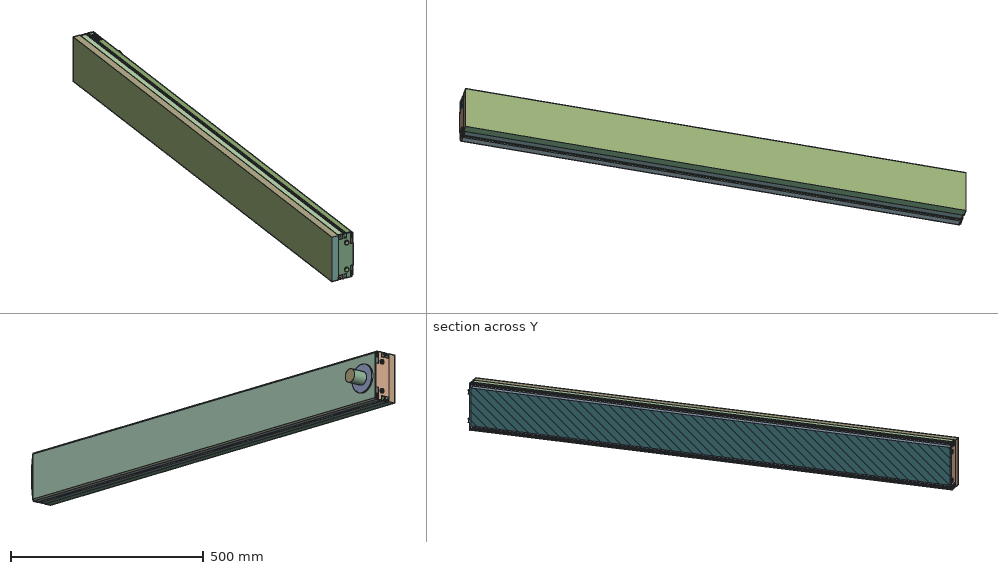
import cadquery as cq

overall_length = 1348.0
overall_depth = 110.0
height = 130.0
top = height / 2

pin_length = 4.0
body_length = overall_length - pin_length
cap_thickness = 4.0

cover_depth = 20.0
body_depth = 65.0
flange_thickness = 4.0

rear_chamfer = 4.0
slot_y = 40.0
slot_mouth = 8.0
slot_chamber = 16.0
slot_lip = 4.0
slot_depth = 12.0

recess_step = 1.0
rear_recess_width = 8.0
rear_recess_height = 32.0
front_recess_size = 12.0

connector_y = 43.0
connector_z = 39.0
connector_diameter = 12.0
socket_bore = 7.0
socket_mouth_depth = 3.0

grille_start = 13.0
grille_cuts = 5
grille_pitch = 8.0
grille_cut_width = 4.0
grille_y_start = 49.0
grille_y_end = 59.0
grille_depth = 3.0

stud_x = 51.0
stud_diameter = 36.0
flange_diameter = 77.0


def block(x_start, x_end, y_start, y_end, z_low, z_high):
    """Axis-aligned box between the given limits."""
    return (
        cq.Workplane("XY")
        .box(x_end - x_start, y_end - y_start, z_high - z_low, centered=False)
        .translate((x_start, y_start, z_low))
    )


def mirrored_in_z(shape):
    """The shape together with its mirror image below mid-height."""
    return shape.union(shape.mirror("XY"))


def bar(x_start, x_end):
    """Plain bar behind the cover, with its rear corners chamfered."""
    blank = block(x_start, x_end, cover_depth, body_depth, -top, top)
    return blank.edges("|X and >Y").chamfer(rear_chamfer)


def slot_mouths(x_start, x_end):
    """Straight slots open to the top and bottom faces."""
    y_start = slot_y - slot_mouth / 2
    return mirrored_in_z(block(x_start, x_end, y_start, y_start + slot_mouth, top - slot_depth, top))


def t_slots(x_start, x_end):
    """Slots that widen into a chamber below their lips."""
    y_start = slot_y - slot_chamber / 2
    y_end = slot_y + slot_chamber / 2
    chamber = block(x_start, x_end, y_start, y_end, top - slot_depth, top - slot_lip)
    return slot_mouths(x_start, x_end).union(mirrored_in_z(chamber))


def stepped_recesses(y_corner, direction, width, depth):
    """Corner recesses in the socket-end cap face, half their size one step deeper."""
    recess = cq.Workplane("XY")
    for step, fraction in enumerate((1.0, 0.5), start=1):
        y_inner = y_corner + direction * width * fraction
        y_limits = sorted((y_corner, y_inner))
        recess = recess.union(block(0, step * recess_step, *y_limits, top - depth * fraction, top))
    return mirrored_in_z(recess)


def connectors(x_start, x_end, diameter):
    """Upper and lower cylinders along X, for the pins and for their sockets."""
    return (
        cq.Workplane("YZ", origin=(x_start, 0, 0))
        .pushPoints([(connector_y, connector_z), (connector_y, -connector_z)])
        .circle(diameter / 2)
        .extrude(x_end - x_start)
    )


def make_cap_plate():
    """End plate at the socket end, before its connectors are added."""
    rear_recesses = stepped_recesses(body_depth, -1, rear_recess_width, rear_recess_height)
    front_recesses = stepped_recesses(cover_depth, 1, front_recess_size, front_recess_size)
    plate = bar(0, cap_thickness)
    plate = plate.cut(rear_recesses).cut(front_recesses)
    return plate.cut(slot_mouths(0, recess_step))


def make_socket_cap():
    """End cap with two stepped round sockets."""
    cap = make_cap_plate()
    cap = cap.cut(connectors(0, socket_mouth_depth, connector_diameter))
    return cap.cut(connectors(0, cap_thickness, socket_bore))


def make_pin_cap():
    """Opposite end cap, mirrored, with two round pins."""
    middle = (body_length / 2, 0, 0)
    cap = make_cap_plate().mirror("YZ", basePointVector=middle)
    pin_start = body_length - cap_thickness
    return cap.union(connectors(pin_start, overall_length, connector_diameter))


def make_profile():
    """Slotted bar between the caps, with the grille cut in its top."""
    x_start = cap_thickness
    x_end = body_length - cap_thickness
    profile = bar(x_start, x_end).cut(t_slots(x_start, x_end))
    for index in range(grille_cuts):
        cut_start = grille_start + index * grille_pitch
        cut_end = cut_start + grille_cut_width
        grille_cut = block(cut_start, cut_end, grille_y_start, grille_y_end, top - grille_depth, top)
        profile = profile.cut(grille_cut)
    return profile


def make_stud():
    """Round stud on a thin flange, standing on the rear face."""
    rear_face = cq.Workplane("XZ", origin=(stud_x, body_depth, 0))
    flange = rear_face.circle(flange_diameter / 2).extrude(-flange_thickness)
    stud = rear_face.circle(stud_diameter / 2).extrude(body_depth - overall_depth)
    return flange.union(stud)


cover = block(0, body_length, 0, cover_depth, -top, top)
profile = make_profile()
socket_cap = make_socket_cap()
pin_cap = make_pin_cap()
mounting_stud = make_stud()

result = cq.Compound.makeCompound(
    [cover.val(), profile.val(), socket_cap.val(), pin_cap.val(), mounting_stud.val()]
)